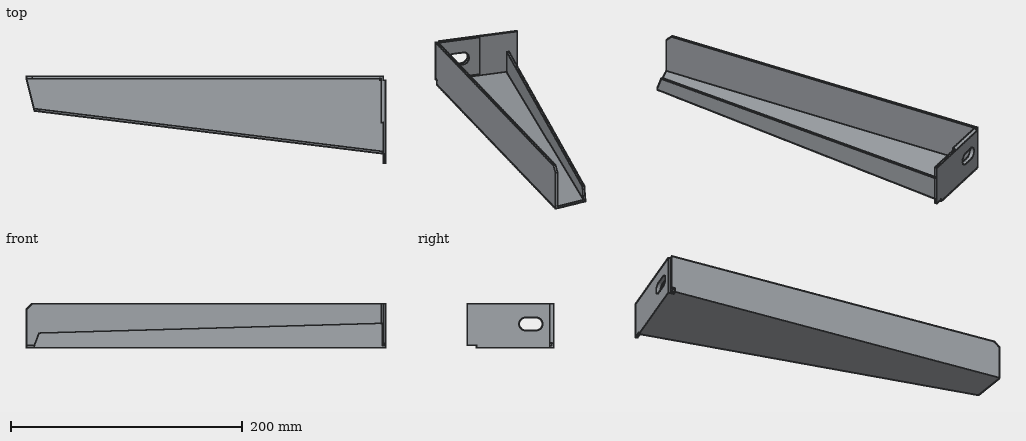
import cadquery as cq
import math

length = 310.0
depth = 75.0
height = 38.11

sheet = 2.0
wall_chamfer = 5.0

plate_thickness = 2.0
plate_inset = 3.5
plate_x = length - plate_thickness

tab_reach = 40.0
tab_bottom = 2 * sheet

relief_length = 3.0

front_start_x = 7.0
front_start_y = -30.0
taper_angle = 7.0
lip_end_gap = 1.0
lip_end_x = plate_x - lip_end_gap

lip_low = 12.7
lip_high = 21.1
lip_end_slant = 4.0

slot_length = 20.0
slot_width = 11.0
slot_y = -20.0
slot_z = 20.5


def front_y(x, inward=0.0):
    """Y of the tapered front line at x, shifted inward square to the line."""
    angle = math.radians(taper_angle)
    return front_start_y - (x - front_start_x) * math.tan(angle) + inward / math.cos(angle)


def prism_z(points, z_low, z_high):
    """Upright prism over the given outline."""
    return cq.Workplane("XY").workplane(offset=z_low).polyline(points).close().extrude(z_high - z_low)


def box(x_range, y_range, z_range):
    """Box between the given low and high limits."""
    sizes = [high - low for low, high in (x_range, y_range, z_range)]
    corner = (x_range[0], y_range[0], z_range[0])
    return cq.Workplane("XY").box(*sizes, centered=False).translate(corner)


def make_floor():
    outline = [
        (0, 0),
        (length, 0),
        (length, front_y(lip_end_x)),
        (lip_end_x, front_y(lip_end_x)),
        (front_start_x, front_start_y),
        (0, -sheet),
    ]
    return prism_z(outline, 0, sheet)


def make_back_wall():
    wall = box((0, plate_x), (-sheet, 0), (0, height))
    return wall.edges("|Y and <X and >Z").chamfer(wall_chamfer)


def make_lip():
    strip = [
        (front_start_x, front_start_y),
        (lip_end_x, front_y(lip_end_x)),
        (lip_end_x, front_y(lip_end_x, sheet)),
        (front_start_x, front_y(front_start_x, sheet)),
    ]
    side_profile = [
        (front_start_x, 0),
        (lip_end_x, 0),
        (lip_end_x, lip_high),
        (front_start_x + lip_end_slant, lip_low),
        (front_start_x, sheet),
    ]
    silhouette = cq.Workplane("XZ").polyline(side_profile).close().extrude(depth)
    return prism_z(strip, 0, lip_high).intersect(silhouette)


def make_tab():
    return box((plate_x - sheet, plate_x), (-tab_reach, 0), (tab_bottom, height))


def make_plate():
    return box((plate_x, length), (-depth, -plate_inset), (sheet, height))


def make_corner_relief():
    return box((plate_x - relief_length, length), (-plate_inset, 0), (0, tab_bottom))


def make_slot():
    return (
        cq.Workplane("YZ")
        .workplane(offset=plate_x - sheet)
        .center(slot_y, slot_z)
        .slot2D(slot_length, slot_width)
        .extrude(sheet + plate_thickness)
    )


result = make_floor()
for piece in (make_back_wall(), make_lip(), make_tab(), make_plate()):
    result = result.union(piece)
result = result.cut(make_corner_relief()).cut(make_slot())